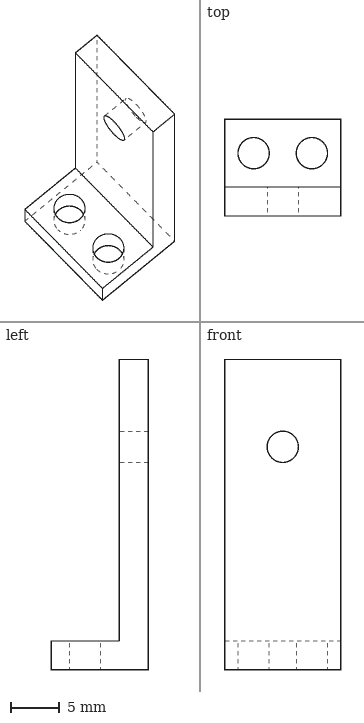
import cadquery as cq

width = 12.0
depth = 10.0
height = 32.0
thickness = 3.0

hole_diameter = 3.2
wall_hole_height = 23.0
foot_hole_spacing = 6.0
foot_hole_y = (thickness + depth) / 2


def make_wall():
    """Upright plate with its outer face on Y = 0."""
    return cq.Workplane("XY").box(width, thickness, height, centered=(True, False, False))


def make_foot():
    """Horizontal plate running back from the bottom of the wall."""
    return cq.Workplane("XY").box(width, depth, thickness, centered=(True, False, False))


def make_wall_hole():
    """Cutter along +Y through the wall, on the centre line."""
    return (
        cq.Workplane("XZ")
        .center(0, wall_hole_height)
        .circle(hole_diameter / 2)
        .extrude(-thickness)
    )


def make_foot_holes():
    """Pair of vertical cutters through the foot."""
    half_spacing = foot_hole_spacing / 2
    return (
        cq.Workplane("XY")
        .pushPoints([(-half_spacing, foot_hole_y), (half_spacing, foot_hole_y)])
        .circle(hole_diameter / 2)
        .extrude(thickness)
    )


bracket = make_wall().union(make_foot())
result = bracket.cut(make_wall_hole()).cut(make_foot_holes())